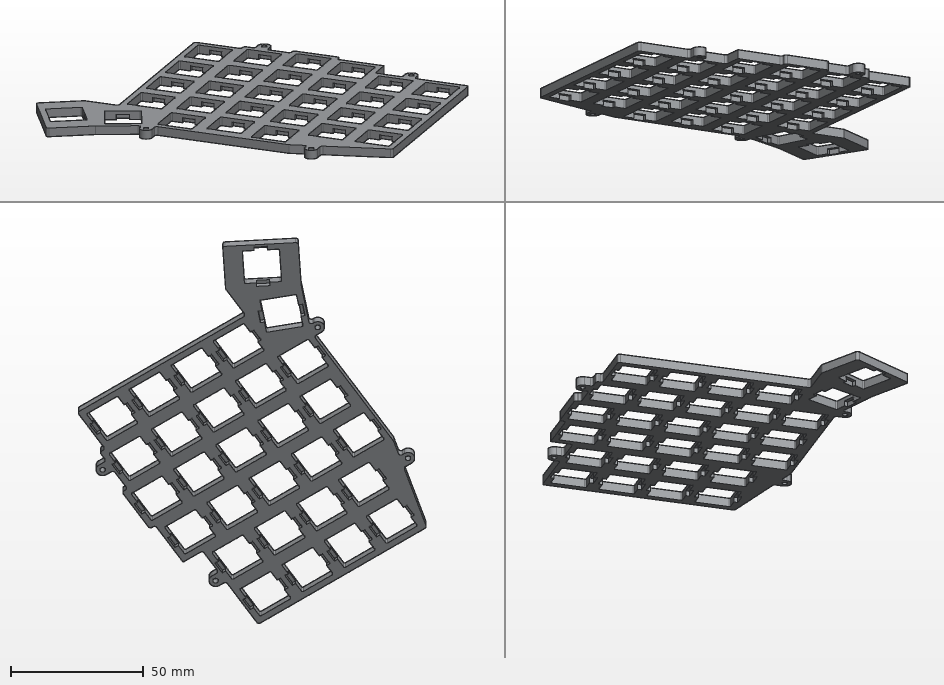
import cadquery as cq
import math


THICKNESS = 3.5
KEY_PITCH = 19.0
SWITCH_SIZE = 14.0
SWITCH_CORNER_RADIUS = 0.5

FULL_ROWS = 5
SHORT_ROWS = 4
STAGGER = 2.5
OUTER_DROP = 8.8

FULL_TOP = FULL_ROWS * KEY_PITCH
COLUMNS = [
    (SHORT_ROWS, FULL_TOP - STAGGER),
    (FULL_ROWS, FULL_TOP),
    (FULL_ROWS, FULL_TOP + STAGGER),
    (FULL_ROWS, FULL_TOP),
    (SHORT_ROWS, FULL_TOP - OUTER_DROP),
    (SHORT_ROWS, FULL_TOP - OUTER_DROP),
]
COLUMN_TOPS = [top for _, top in COLUMNS]
COLUMN_EDGES = [index * KEY_PITCH for index in range(len(COLUMNS) + 1)]
LEFT_BOTTOM = COLUMN_TOPS[0] - SHORT_ROWS * KEY_PITCH
RIGHT_BOTTOM = COLUMN_TOPS[-1] - SHORT_ROWS * KEY_PITCH

OUTER_THUMB_ANGLE = 30.0
OUTER_THUMB_LENGTH = 1.5 * KEY_PITCH
OUTER_THUMB_CENTRE = (-14.38, -0.28)
INNER_THUMB_ANGLE = 23.0
INNER_THUMB_CENTRE = (6.65, 4.8)

CLIP_LIP = 1.5
CLIP_WIDTH = 5.0
CLIP_DEPTH = 1.5

EDGE_RADIUS = 1.0
RIGHT_SLOPE_ANGLE = 15.0
TAB_RADIUS = 2.5
TAB_FILLET = 1.0
SCREW_DIAMETER = 2.0
UPPER_LEFT_SCREW = (26.0, 98.22)
UPPER_RIGHT_SCREW = (89.45, 89.2)
LOWER_LEFT_SCREW = (19.25, -3.3)
LOWER_RIGHT_SCREW = (85.2, -0.45)
SCREWS = [UPPER_LEFT_SCREW, UPPER_RIGHT_SCREW, LOWER_LEFT_SCREW, LOWER_RIGHT_SCREW]

COINCIDENT = 1e-6


def local_point(centre, angle, x, y):
    """Point (x, y) of a frame placed at centre and turned by angle degrees."""
    turn = math.radians(angle)
    return (
        centre[0] + x * math.cos(turn) - y * math.sin(turn),
        centre[1] + x * math.sin(turn) + y * math.cos(turn),
    )


def height_on_line(point, angle, x):
    """Height at x of the line through point at angle degrees."""
    return point[1] + (x - point[0]) * math.tan(math.radians(angle))


def tab_corners(screw, left_base, right_base, side):
    """Outline corners of a screw tab, left to right; side is +1 for an upward tab, -1 for downward."""
    left = screw[0] - TAB_RADIUS
    right = screw[0] + TAB_RADIUS
    tip = screw[1] + side * TAB_RADIUS
    return [
        (left, left_base, TAB_FILLET),
        (left, tip, TAB_RADIUS),
        (right, tip, TAB_RADIUS),
        (right, right_base, TAB_FILLET),
    ]


def outline_corners():
    """Corners (x, y, rounding radius) of the plate, clockwise from the outer thumb key."""
    half_width = KEY_PITCH / 2
    half_length = OUTER_THUMB_LENGTH / 2
    thumb_top = local_point(OUTER_THUMB_CENTRE, OUTER_THUMB_ANGLE, -half_width, half_length)
    thumb_bottom = local_point(OUTER_THUMB_CENTRE, OUTER_THUMB_ANGLE, -half_width, -half_length)
    inner_bottom = local_point(INNER_THUMB_CENTRE, INNER_THUMB_ANGLE, 0, -half_width)

    outer_slope = math.tan(math.radians(OUTER_THUMB_ANGLE))
    inner_slope = math.tan(math.radians(INNER_THUMB_ANGLE))
    shoulder_x = thumb_top[0] + (LEFT_BOTTOM - thumb_top[1]) / outer_slope
    bend_x = (
        inner_bottom[1] - thumb_bottom[1] + outer_slope * thumb_bottom[0] - inner_slope * inner_bottom[0]
    ) / (outer_slope - inner_slope)
    bend_y = height_on_line(thumb_bottom, OUTER_THUMB_ANGLE, bend_x)

    slope_end = (COLUMN_EDGES[6], RIGHT_BOTTOM)
    slope_start = (slope_end[0] - RIGHT_BOTTOM / math.tan(math.radians(RIGHT_SLOPE_ANGLE)), 0)

    corners = [
        (*thumb_top, EDGE_RADIUS),
        (shoulder_x, LEFT_BOTTOM, EDGE_RADIUS),
        (COLUMN_EDGES[0], LEFT_BOTTOM, EDGE_RADIUS),
        (COLUMN_EDGES[0], COLUMN_TOPS[0], EDGE_RADIUS),
        (COLUMN_EDGES[1], COLUMN_TOPS[0], EDGE_RADIUS),
        (COLUMN_EDGES[1], COLUMN_TOPS[1], EDGE_RADIUS),
    ]
    corners += tab_corners(UPPER_LEFT_SCREW, COLUMN_TOPS[1], COLUMN_TOPS[1], 1)
    corners += [
        (COLUMN_EDGES[2], COLUMN_TOPS[1], EDGE_RADIUS),
        (COLUMN_EDGES[2], COLUMN_TOPS[2], EDGE_RADIUS),
        (COLUMN_EDGES[3], COLUMN_TOPS[2], EDGE_RADIUS),
        (COLUMN_EDGES[3], COLUMN_TOPS[3], EDGE_RADIUS),
        (COLUMN_EDGES[4], COLUMN_TOPS[3], 0),
        (COLUMN_EDGES[4], COLUMN_TOPS[4], EDGE_RADIUS),
    ]
    corners += tab_corners(UPPER_RIGHT_SCREW, COLUMN_TOPS[4], COLUMN_TOPS[4], 1)
    corners += [
        (COLUMN_EDGES[6], COLUMN_TOPS[5], EDGE_RADIUS),
        (*slope_end, EDGE_RADIUS),
    ]
    lower_right_tab = tab_corners(
        LOWER_RIGHT_SCREW,
        height_on_line(slope_end, RIGHT_SLOPE_ANGLE, LOWER_RIGHT_SCREW[0] - TAB_RADIUS),
        height_on_line(slope_end, RIGHT_SLOPE_ANGLE, LOWER_RIGHT_SCREW[0] + TAB_RADIUS),
        -1,
    )
    corners += reversed(lower_right_tab)
    corners.append((*slope_start, 0))
    lower_left_tab = tab_corners(
        LOWER_LEFT_SCREW,
        height_on_line(inner_bottom, INNER_THUMB_ANGLE, LOWER_LEFT_SCREW[0] - TAB_RADIUS),
        0,
        -1,
    )
    corners += reversed(lower_left_tab)
    corners += [
        (bend_x, bend_y, 0),
        (*thumb_bottom, EDGE_RADIUS),
    ]
    return corners


def rounded_outline(corners):
    """Closed wire through the corners, each rounded by a tangent arc of its own radius."""
    edges = []
    first_point = None
    last_point = None
    for index, (x, y, radius) in enumerate(corners):
        corner = cq.Vector(x, y)
        before = cq.Vector(*corners[index - 1][:2]) - corner
        after = cq.Vector(*corners[(index + 1) % len(corners)][:2]) - corner
        before = before.normalized()
        after = after.normalized()
        half_angle = before.getAngle(after) / 2
        setback = radius / math.tan(half_angle)
        start = corner + before * setback
        end = corner + after * setback
        if last_point is None:
            first_point = start
        elif (start - last_point).Length > COINCIDENT:
            edges.append(cq.Edge.makeLine(last_point, start))
        if radius > 0:
            bisector = (before + after).normalized()
            middle = corner + bisector * (radius / math.sin(half_angle) - radius)
            edges.append(cq.Edge.makeThreePointArc(start, middle, end))
        last_point = end
    edges.append(cq.Edge.makeLine(last_point, first_point))
    return cq.Wire.assembleEdges(edges)


def switch_cutter():
    """Switch hole centred on the origin, with clip recesses under its +Y and -Y edges."""
    hole = (
        cq.Workplane("XY")
        .rect(SWITCH_SIZE, SWITCH_SIZE)
        .extrude(THICKNESS)
        .edges("|Z")
        .fillet(SWITCH_CORNER_RADIUS)
    )
    recess = (
        cq.Workplane("XY")
        .rect(CLIP_WIDTH, SWITCH_SIZE + 2 * CLIP_DEPTH)
        .extrude(THICKNESS - CLIP_LIP)
    )
    return hole.union(recess).val()


def switch_places():
    """Centre and turn of every switch hole."""
    places = []
    for index, (rows, top) in enumerate(COLUMNS):
        x = (index + 0.5) * KEY_PITCH
        for row in range(rows):
            places.append((x, top - (row + 0.5) * KEY_PITCH, 0))
    places.append((*OUTER_THUMB_CENTRE, OUTER_THUMB_ANGLE + 90))
    places.append((*INNER_THUMB_CENTRE, INNER_THUMB_ANGLE))
    return places


def make_plate():
    """Solid plate with screw tabs and screw holes."""
    outline = rounded_outline(outline_corners())
    body = cq.Workplane(cq.Solid.extrudeLinear(outline, [], cq.Vector(0, 0, THICKNESS)))
    screws = cq.Workplane("XY").pushPoints(SCREWS).circle(SCREW_DIAMETER / 2).extrude(THICKNESS)
    return body.cut(screws)


def cut_switches(plate):
    """Cut every switch hole and its clip recesses."""
    cutter = switch_cutter()
    origin = cq.Vector(0, 0, 0)
    up = cq.Vector(0, 0, 1)
    cutters = []
    for x, y, turn in switch_places():
        cutters.append(cutter.rotate(origin, up, turn).translate(cq.Vector(x, y, 0)))
    return plate.cut(cq.Workplane(cq.Compound.makeCompound(cutters)))


result = cut_switches(make_plate())